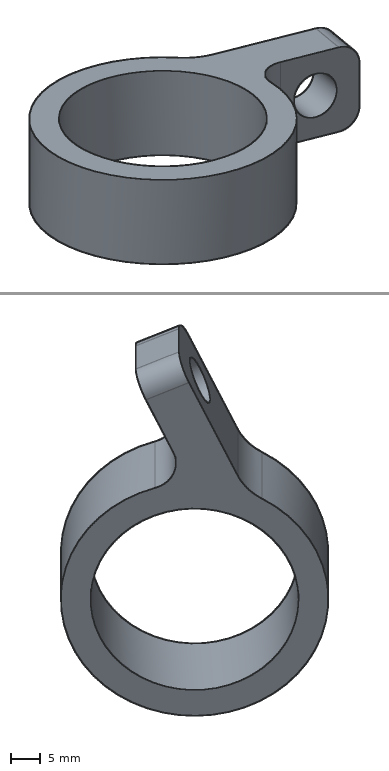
import cadquery as cq
import math

ring_radius = 22.5
bore_radius = 17.5
height = 16.0
total_length = 65.0

arm_left = -16.5
arm_width = 8.0
arm_right = arm_left + arm_width
arm_end = total_length - ring_radius
arm_corner_radius = 4.0

left_blend_radius = 10.0
right_blend_radius = 5.0

hole_diameter = 8.2
hole_end_distance = 8.5


def make_arm():
    """Arm from the ring's centre line to its free end, with rounded end corners."""
    arm = cq.Workplane("XY").box(arm_width, arm_end, height, centered=False)
    arm = arm.translate((arm_left, 0, 0))
    return arm.edges("|X and >Y").fillet(arm_corner_radius)


def blend(body, side_x, radius):
    """Round the vertical corner where the arm side at side_x meets the ring."""
    corner_y = math.sqrt(ring_radius**2 - side_x**2)
    corner = (side_x, corner_y, height / 2)
    return body.edges(cq.selectors.NearestToPointSelector(corner)).fillet(radius)


body = cq.Workplane("XY").circle(ring_radius).extrude(height).union(make_arm())
body = blend(body, arm_left, left_blend_radius)
body = blend(body, arm_right, right_blend_radius)

bore = cq.Workplane("XY").circle(bore_radius).extrude(height)
cross_hole = (
    cq.Workplane("YZ", origin=(arm_left, arm_end - hole_end_distance, height / 2))
    .circle(hole_diameter / 2)
    .extrude(arm_width)
)

result = body.cut(bore).cut(cross_hole)